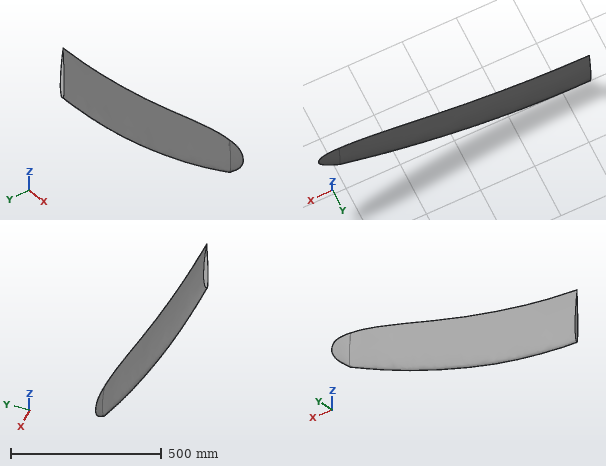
import cadquery as cq
import math


TIP_JOINT = (924.0, 213.0, 345.0, 0.6, 0.5)
BLADE_STATIONS = [
    (0, 0, 202.0, 1.2, 0.5),
    (120, 3.0, 206.0, 1.2, 0.5),
    (240, 14.0, 217.0, 1.2, 0.5),
    (360, 33.0, 234.0, 1.2, 0.5),
    (480, 60.0, 256.0, 1.2, 0.5),
    (600, 93.0, 283.0, 1.1, 0.5),
    (720, 132.0, 312.0, 1.0, 0.5),
    (840, 178.0, 337.0, 0.8, 0.5),
    TIP_JOINT,
]
TIP_STATIONS = [
    TIP_JOINT,
    (957.0, 240.0, 344.0, 0.4, 0.3),
    (978.0, 260.0, 339.0, 0.2, 0.2),
    (993.0, 281.0, 328.0, 0.1, 0.1),
    (1000, 298.0, 313.0, 0.05, 0.05),
]
PROFILE_STEPS = 10
PROFILE_PEAK = 0.05


def profile_height(t):
    """Airfoil half thickness at chord fraction t, scaled to peak at 1 and closed at both ends."""
    half = 5 * (0.2969 * math.sqrt(t) - 0.126 * t - 0.3516 * t**2 + 0.2843 * t**3 - 0.1036 * t**4)
    return half / PROFILE_PEAK


def section(station):
    """Airfoil wire across the span: a rounded leading edge and a sharp trailing edge."""
    x, leading, trailing, back, front = station
    chord = trailing - leading
    fractions = [(1 - math.cos(math.pi * i / PROFILE_STEPS)) / 2 for i in range(PROFILE_STEPS)]

    def face_edge(height):
        points = [cq.Vector(x, height * profile_height(t), leading + chord * t) for t in fractions]
        points.append(cq.Vector(x, 0, trailing))
        return cq.Edge.makeSpline(points)

    return cq.Wire.assembleEdges([face_edge(back), face_edge(-front)])


def loft(stations):
    return cq.Solid.makeLoft([section(station) for station in stations])


blade = loft(BLADE_STATIONS)
tip = loft(TIP_STATIONS)
result = cq.Workplane("XY").newObject([blade]).union(cq.Workplane("XY").newObject([tip]))